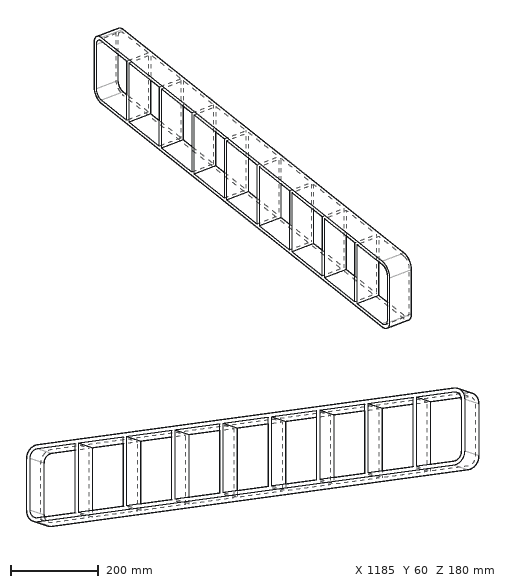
import cadquery as cq

length = 1185.0
depth = 60.0
height = 180.0

wall = 10.0
corner_radius = 30.0
inner_radius = corner_radius - wall
bay_count = 9

bay_pitch = (length - wall) / bay_count


def rounded_block(block_length, block_height, radius):
    """Centred block with its four corners rounded in the XZ plane."""
    return cq.Workplane("XY").box(block_length, depth, block_height).edges("|Y").fillet(radius)


def divider(index):
    """Upright plate between two bays, reaching halfway into both rails."""
    center_x = (index - bay_count / 2) * bay_pitch
    return cq.Workplane("XY").box(wall, depth, height - wall).translate((center_x, 0, 0))


opening = rounded_block(length - 2 * wall, height - 2 * wall, inner_radius)
result = rounded_block(length, height, corner_radius).cut(opening)

for divider_index in range(1, bay_count):
    result = result.union(divider(divider_index))